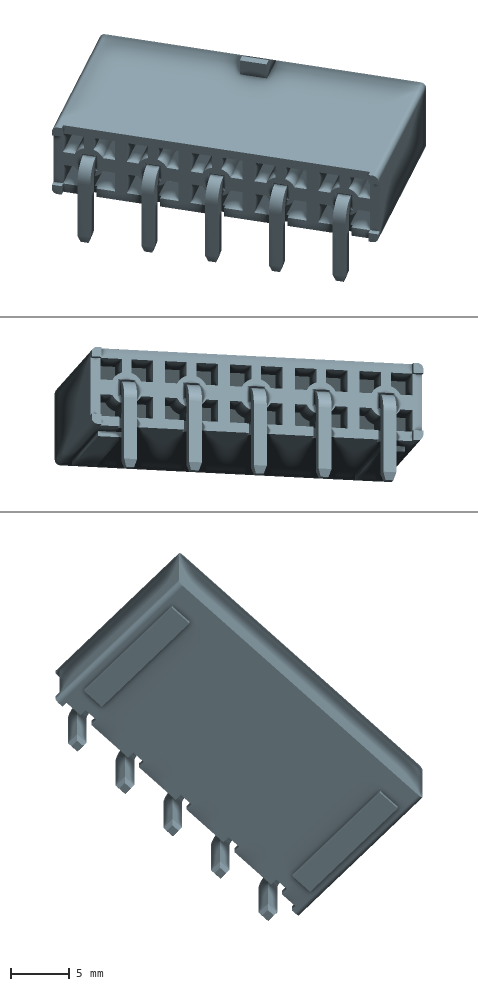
import cadquery as cq

WIDTH = 29.15
DEPTH = 14.8
HEIGHT = 6.82
EDGE_RADIUS = 0.5
TAB_SIZE = 0.87
TAB_LENGTH = 0.5

COLUMNS = 5
COLUMN_SPAN = 22.8
PITCH = COLUMN_SPAN / (COLUMNS - 1)
COLUMN_X = [(i - (COLUMNS - 1) / 2) * PITCH for i in range(COLUMNS)]

CORE_RADIUS = 1.43
POCKET_FIELD_WIDTH = 4.63
POCKET_FIELD_HEIGHT = 5.13
UPRIGHT_WEB = 0.85
LEVEL_WEB = 1.3
POCKET_DEPTH = 2.92

RELIEF_WIDTH = 1.3
RELIEF_RISE = 2.15
RELIEF_DEPTH = 0.65

PIN_SIZE = 1.15
PIN_BEND_INNER = 0.65
PIN_DROP = 3.9
PIN_TIP_LENGTH = 0.67
PIN_TIP_SIZE = 0.7
PIN_EMBED = 2.62

LEAD_IN_MOUTH = 1.52
LEAD_IN_DEPTH = (LEAD_IN_MOUTH - PIN_SIZE) / 2

LATCH_WIDTH = 2.4
LATCH_HEIGHT = 1.55
LATCH_RAMP = 2.45
LATCH_REACH = 3.15
LATCH_BASE = 2.97

PAD_WIDTH = 2.1
PAD_THICKNESS = 0.47
PAD_BACK_GAP = 1.98
PAD_LENGTH = 10.85

TOP_Z = HEIGHT / 2
BOTTOM_Z = -HEIGHT / 2


def box(x_range, y_range, z_range):
    """Box spanning the given (low, high) ranges."""
    size = [high - low for low, high in (x_range, y_range, z_range)]
    corner = (x_range[0], y_range[0], z_range[0])
    return cq.Workplane("XY").box(*size, centered=False).translate(corner)


def make_housing():
    """Block with rounded long edges and a short tab at each front corner."""
    block = (
        cq.Workplane("XY")
        .box(WIDTH, DEPTH + TAB_LENGTH, HEIGHT)
        .edges("|Y")
        .fillet(EDGE_RADIUS)
        .translate((0, (DEPTH - TAB_LENGTH) / 2, 0))
    )
    inner_x = WIDTH / 2 - TAB_SIZE
    inner_z = TOP_Z - TAB_SIZE
    front = (-TAB_LENGTH, 0)
    between_sides = box((-inner_x, inner_x), front, (BOTTOM_Z, TOP_Z))
    between_levels = box((-WIDTH / 2, WIDTH / 2), front, (-inner_z, inner_z))
    return block.cut(between_sides).cut(between_levels)


def make_pockets(x):
    """Four corner pockets left by a cross of webs and a round core."""
    half_width = POCKET_FIELD_WIDTH / 2
    half_height = POCKET_FIELD_HEIGHT / 2
    depth = (0, POCKET_DEPTH)
    field = box((-half_width, half_width), depth, (-half_height, half_height))
    upright = box((-UPRIGHT_WEB / 2, UPRIGHT_WEB / 2), depth, (-half_height, half_height))
    level = box((-half_width, half_width), depth, (-LEVEL_WEB / 2, LEVEL_WEB / 2))
    core = cq.Workplane("XZ").circle(CORE_RADIUS).extrude(-POCKET_DEPTH)
    return field.cut(upright).cut(level).cut(core).translate((x, 0, 0))


def make_lead_in(x):
    """Square lead-in that narrows to the pin section just inside the front face."""
    return (
        cq.Workplane("XZ")
        .rect(LEAD_IN_MOUTH, LEAD_IN_MOUTH)
        .workplane(offset=-LEAD_IN_DEPTH)
        .rect(PIN_SIZE, PIN_SIZE)
        .loft()
        .translate((x, 0, 0))
    )


def make_relief(x):
    """Wedge that deepens toward the underside of the housing."""
    return (
        cq.Workplane("YZ")
        .moveTo(0, BOTTOM_Z + RELIEF_RISE)
        .lineTo(RELIEF_DEPTH, BOTTOM_Z)
        .lineTo(0, BOTTOM_Z)
        .close()
        .extrude(RELIEF_WIDTH / 2, both=True)
        .translate((x, 0, 0))
    )


def make_pin(x):
    """Square pin: root in the housing, quarter bend, leg and tapered tip."""
    leg_y = -TAB_LENGTH - PIN_SIZE / 2
    bend_radius = PIN_BEND_INNER + PIN_SIZE / 2
    bend_y = leg_y + bend_radius
    tip_z = BOTTOM_Z - PIN_DROP
    shoulder_z = tip_z + PIN_TIP_LENGTH
    path = (
        cq.Workplane("YZ")
        .moveTo(PIN_EMBED, 0)
        .lineTo(bend_y, 0)
        .radiusArc((leg_y, -bend_radius), -bend_radius)
        .lineTo(leg_y, shoulder_z)
    )
    bar = cq.Workplane("XZ", origin=(0, PIN_EMBED, 0)).rect(PIN_SIZE, PIN_SIZE).sweep(path)
    tip = (
        cq.Workplane("XY", origin=(0, leg_y, tip_z))
        .rect(PIN_TIP_SIZE, PIN_TIP_SIZE)
        .workplane(offset=PIN_TIP_LENGTH)
        .rect(PIN_SIZE, PIN_SIZE)
        .loft()
    )
    return bar.union(tip).translate((x, 0, 0))


def make_latch():
    """Ramped latch with a slightly undercut front."""
    return (
        cq.Workplane("YZ")
        .moveTo(DEPTH, TOP_Z)
        .lineTo(DEPTH - LATCH_RAMP, TOP_Z + LATCH_HEIGHT)
        .lineTo(DEPTH - LATCH_REACH, TOP_Z + LATCH_HEIGHT)
        .lineTo(DEPTH - LATCH_BASE, TOP_Z)
        .close()
        .extrude(LATCH_WIDTH / 2, both=True)
    )


def make_pad(x_range):
    """Flat standoff pad on the underside."""
    back = DEPTH - PAD_BACK_GAP
    return box(x_range, (back - PAD_LENGTH, back), (BOTTOM_Z - PAD_THICKNESS, BOTTOM_Z))


result = make_housing().union(make_latch())

result = result.union(make_pad((COLUMN_X[0] - PAD_WIDTH, COLUMN_X[0])))
result = result.union(make_pad((COLUMN_X[-1], COLUMN_X[-1] + PAD_WIDTH)))

for column_x in COLUMN_X:
    result = result.cut(make_pockets(column_x))
    result = result.cut(make_lead_in(column_x))
    result = result.cut(make_relief(column_x))
    result = result.union(make_pin(column_x))